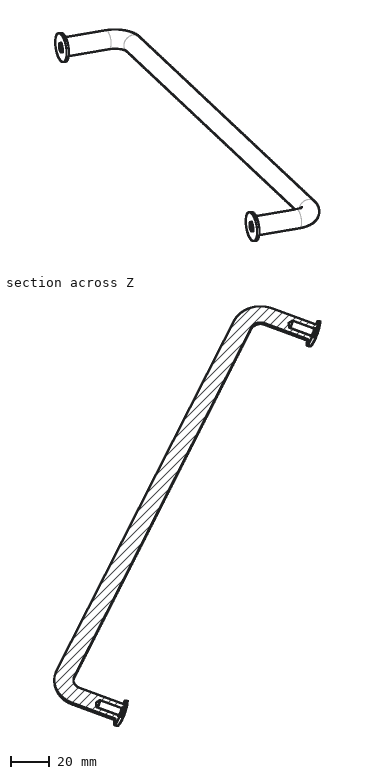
import cadquery as cq
import math

length = 265.0
depth = 41.0

bar_diameter = 10.0
bend_radius = 10.0
flange_diameter = 15.0
flange_thickness = 1.5
flange_rim_fillet = 0.5

entry_diameter = 5.0
entry_depth = 1.2
blind_hole_diameter = 4.2
blind_hole_depth = 13.2
drill_point_angle = 118.0

leg_x = (length - flange_diameter) / 2
grip_y = depth - bar_diameter / 2


def bent_bar():
    """Round bar swept along a U-shaped path with two rounded corners."""
    bend_start_y = grip_y - bend_radius
    bend_end_x = leg_x - bend_radius
    diagonal = bend_radius * math.sqrt(0.5)
    arc_mid_x = bend_end_x + diagonal
    arc_mid_y = bend_start_y + diagonal
    path = (
        cq.Workplane("XY")
        .moveTo(-leg_x, 0)
        .lineTo(-leg_x, bend_start_y)
        .threePointArc((-arc_mid_x, arc_mid_y), (-bend_end_x, grip_y))
        .lineTo(bend_end_x, grip_y)
        .threePointArc((arc_mid_x, arc_mid_y), (leg_x, bend_start_y))
        .lineTo(leg_x, 0)
    )
    section = cq.Workplane("XZ").center(-leg_x, 0).circle(bar_diameter / 2)
    return section.sweep(path)


def flange(x):
    """Thin disc around the end of a leg, with its rear rim rounded."""
    disc = cq.Workplane("XZ").center(x, 0).circle(flange_diameter / 2).extrude(-flange_thickness)
    return disc.faces(">Y").edges().fillet(flange_rim_fillet)


def mounting_hole(x):
    """Shallow wide entry in the flange face, then a narrower blind hole with a drill point."""
    entry_radius = entry_diameter / 2
    blind_radius = blind_hole_diameter / 2
    point_depth = blind_radius / math.tan(math.radians(drill_point_angle / 2))
    half_profile = (
        cq.Workplane("XY")
        .polyline([
            (0, 0),
            (entry_radius, 0),
            (entry_radius, entry_depth),
            (blind_radius, entry_depth),
            (blind_radius, blind_hole_depth),
            (0, blind_hole_depth + point_depth),
        ])
        .close()
    )
    return half_profile.revolve(360, (0, 0), (0, 1)).translate((x, 0, 0))


result = bent_bar()
for x in (-leg_x, leg_x):
    result = result.union(flange(x)).cut(mounting_hole(x))